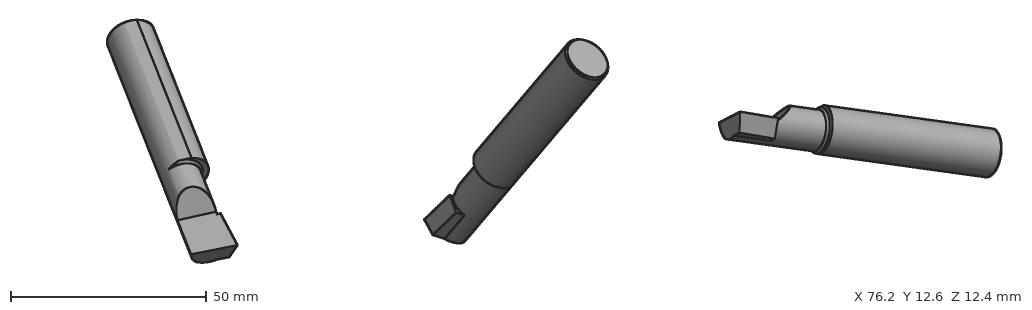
import cadquery as cq
import math

length = 76.2
shank_radius = 6.3
shank_length = 49.45
end_chamfer = 0.45
flat_height = 6.1

neck_radius = 5.4
neck_offset_y = -1.4
shoulder_chamfer = 0.7

face_start = 63.7

tooth_start = 64.55
tooth_root_y = 4.95
tooth_tip_y = 6.0
tooth_depth = 5.0
side_relief_angle = 21.0

end_relief_angle = 9.0
edge_lean_angle = 2.0

clearance = 7.6


def prism(points, direction):
    """Sweep a closed polygon straight along a vector, which may be oblique."""
    outline = cq.Wire.makePolygon([cq.Vector(*p) for p in points], close=True)
    return cq.Workplane(cq.Solid.extrudeLinear(outline, [], cq.Vector(*direction)))


def make_shank():
    shank = cq.Workplane("YZ").circle(shank_radius).extrude(shank_length)
    shank = shank.faces("<X").chamfer(end_chamfer)
    flat_cut = cq.Workplane("XY").workplane(offset=flat_height).rect(2 * length, 2 * length)
    return shank.cut(flat_cut.extrude(clearance))


def make_neck():
    shoulder_radius = neck_radius + shoulder_chamfer
    neck_end = length + clearance
    neck = (
        cq.Workplane("XY")
        .moveTo(shank_length, 0)
        .lineTo(shank_length, shoulder_radius)
        .lineTo(shank_length + shoulder_chamfer, neck_radius)
        .lineTo(neck_end, neck_radius)
        .lineTo(neck_end, 0)
        .close()
        .revolve(360, (0, 0, 0), (1, 0, 0))
        .translate((0, neck_offset_y, 0))
    )
    envelope = cq.Workplane("YZ").circle(shank_radius).extrude(neck_end)
    return neck.intersect(envelope)


def make_face_cut():
    cut_end = length + 2 * clearance
    return (
        cq.Workplane("XZ")
        .polyline([
            (face_start, 0),
            (face_start - clearance, clearance),
            (cut_end, clearance),
            (cut_end, 0),
        ])
        .close()
        .extrude(length, both=True)
    )


def make_tooth():
    relief = tooth_depth * math.tan(math.radians(side_relief_angle))
    section = [
        (tooth_start, neck_offset_y, 0),
        (tooth_start, tooth_root_y, 0),
        (tooth_start, tooth_root_y - relief, -tooth_depth),
        (tooth_start, neck_offset_y, -tooth_depth),
    ]
    slope = (tooth_tip_y - tooth_root_y) / (length - tooth_start)
    run = length + clearance - tooth_start
    return prism(section, (run, run * slope, 0))


def make_end_cut():
    lean = math.tan(math.radians(edge_lean_angle))
    relief = math.tan(math.radians(end_relief_angle))
    far_x = length + 2 * clearance
    front_y = -shank_radius - clearance
    back_y = shank_radius + clearance
    outline = [
        (length - (tooth_tip_y - front_y) * lean, front_y, 0),
        (far_x, front_y, 0),
        (far_x, back_y, 0),
        (length - (tooth_tip_y - back_y) * lean, back_y, 0),
    ]
    depth = shank_radius + clearance
    return prism(outline, (-depth * relief, 0, -depth))


neck = make_neck().cut(make_face_cut())
head = neck.union(make_tooth()).cut(make_end_cut())
result = make_shank().union(head)